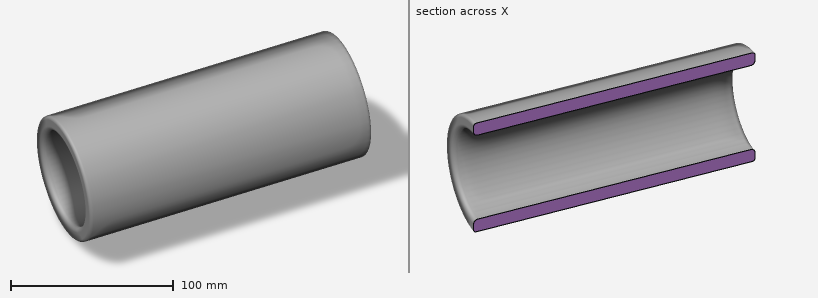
import cadquery as cq

OUTER_DIAMETER = 81.0
BORE_DIAMETER = 62.0
LENGTH = 190.0

OUTER_EDGE_FILLET = 2.0
BORE_EDGE_FILLET = 3.0

END_FACES = "<Y or >Y"


def cylinder_along_y(diameter):
    """Cylinder of the full tube length, centred on the origin."""
    end_plane = cq.Workplane("XZ", origin=(0, LENGTH / 2, 0))
    return end_plane.circle(diameter / 2).extrude(LENGTH)


def outer_body():
    """Solid body with both outer end edges rounded."""
    return cylinder_along_y(OUTER_DIAMETER).faces(END_FACES).edges().fillet(OUTER_EDGE_FILLET)


def cut_bore(body):
    """Through bore with both mouths rounded."""
    tube = body.cut(cylinder_along_y(BORE_DIAMETER))
    bore_mouths = cq.selectors.RadiusNthSelector(0)
    return tube.faces(END_FACES).edges(bore_mouths).fillet(BORE_EDGE_FILLET)


result = cut_bore(outer_body())